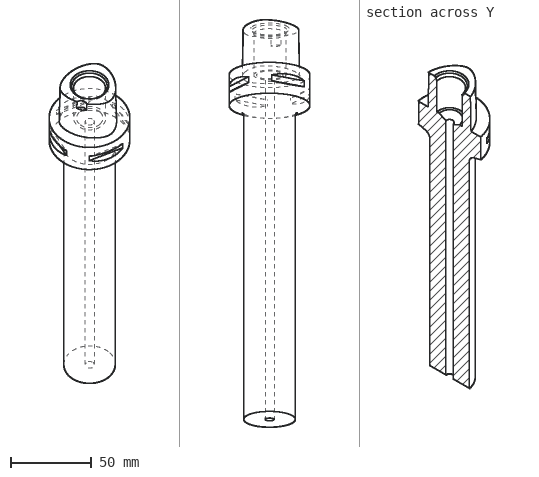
import cadquery as cq
import math

total_height = 254.0
shank_height = 30.0
flange_height = 20.0
flange_top = total_height - shank_height
flange_bottom = flange_top - flange_height

shaft_radius = 16.0
flange_diameter = 50.0
flange_radius = flange_diameter / 2
underside_drop = 1.5
underside_radius = 20.3
fillet_drop = 6.9

shank_top_radius = 17.3
shank_base_radius = 17.8
lobe_height = 1.3
outline_points = 36

mouth_radius = 12.0
mouth_depth = 1.0
lead_in_radius = 11.0
lead_in_depth = 3.0
bore_radius = 10.0
bore_depth = shank_height
funnel_radius = 8.1
funnel_angle = 118
through_radius = 2.8

notch_radius = 3.8
notch_back = 14.2
notch_depth = 5.8
notch_tip = 1.0

pocket_count = 4
pocket_floor_distance = 22.0
pocket_floor_height = 3.8
pocket_mouth_height = 6.5
pocket_height = flange_bottom + flange_height / 2


def revolve_profile(profile):
    """Close a half section drawn as (radius, height) and turn it about Z."""
    return profile.close().revolve(360, (0, 0, 0), (0, 1, 0))


def make_shaft_and_flange():
    fillet_top = flange_bottom - underside_drop
    fillet_bottom = flange_bottom - fillet_drop
    run = underside_radius - shaft_radius
    rise = fillet_top - fillet_bottom
    fillet_radius = (run**2 + rise**2) / (2 * run)
    half_sweep = math.atan2(rise, fillet_radius - run) / 2
    middle = (
        shaft_radius + fillet_radius * (1 - math.cos(half_sweep)),
        fillet_bottom + fillet_radius * math.sin(half_sweep),
    )
    profile = (
        cq.Workplane("XZ")
        .lineTo(shaft_radius, 0)
        .lineTo(shaft_radius, fillet_bottom)
        .threePointArc(middle, (underside_radius, fillet_top))
        .lineTo(flange_radius, flange_bottom)
        .lineTo(flange_radius, flange_top)
        .lineTo(0, flange_top)
    )
    return revolve_profile(profile)


def lobed_point(mean_radius, turn):
    """Point on a constant-width outline with one of its three lobes toward +Y."""
    angle = 2 * math.pi * turn - math.pi / 2
    reach = mean_radius - lobe_height * math.sin(3 * angle)
    slope = -3 * lobe_height * math.cos(3 * angle)
    x = reach * math.cos(angle) - slope * math.sin(angle)
    y = reach * math.sin(angle) + slope * math.cos(angle)
    return x, y


def lobed_outline(mean_radius, height):
    """Closed smooth wire through points of the lobed outline at one height."""
    points = []
    for index in range(outline_points):
        x, y = lobed_point(mean_radius, index / outline_points)
        points.append(cq.Vector(x, y, height))
    return cq.Wire.assembleEdges([cq.Edge.makeSpline(points, periodic=True)])


def make_shank():
    base = lobed_outline(shank_base_radius, flange_top)
    top = lobed_outline(shank_top_radius, total_height)
    return cq.Workplane(cq.Solid.makeLoft([base, top], True))


def make_bore():
    bore_floor = total_height - bore_depth
    funnel_depth = (funnel_radius - through_radius) / math.tan(math.radians(funnel_angle / 2))
    funnel_bottom = bore_floor - funnel_depth
    profile = (
        cq.Workplane("XZ")
        .lineTo(through_radius, 0)
        .lineTo(through_radius, funnel_bottom)
        .lineTo(funnel_radius, bore_floor)
        .lineTo(bore_radius, bore_floor)
        .lineTo(bore_radius, total_height - lead_in_depth)
        .lineTo(lead_in_radius, total_height - mouth_depth)
        .lineTo(mouth_radius, total_height)
        .lineTo(0, total_height)
    )
    return revolve_profile(profile)


def make_notch():
    wall_bottom = total_height - notch_depth
    profile = (
        cq.Workplane("XZ")
        .moveTo(0, wall_bottom - notch_tip)
        .lineTo(notch_radius, wall_bottom)
        .lineTo(notch_radius, total_height)
        .lineTo(0, total_height)
    )
    return revolve_profile(profile).translate((0, -(notch_back + notch_radius), 0))


def make_pocket(angle):
    """Flat-floored pocket whose upper and lower walls flare outward to the flange rim."""
    floor_half = pocket_floor_height / 2
    mouth_half = pocket_mouth_height / 2
    section = [
        (pocket_floor_distance, pocket_height - floor_half),
        (flange_radius, pocket_height - mouth_half),
        (flange_radius, pocket_height + mouth_half),
        (pocket_floor_distance, pocket_height + floor_half),
    ]
    pocket = cq.Workplane("XZ").polyline(section).close().extrude(flange_radius, both=True)
    return pocket.rotate((0, 0, 0), (0, 0, 1), angle)


result = make_shaft_and_flange().union(make_shank())
result = result.cut(make_bore()).cut(make_notch())
pocket_spacing = 360 / pocket_count
for index in range(pocket_count):
    result = result.cut(make_pocket((index + 0.5) * pocket_spacing))